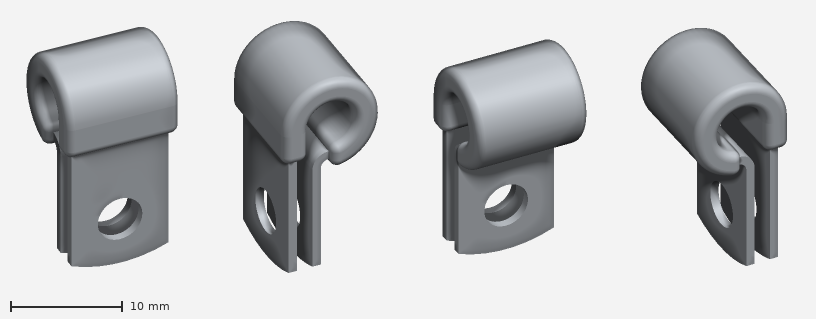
import cadquery as cq
import math

TOTAL_HEIGHT = 20.85
LOOP_RADIUS = 4.77
CUSHION_LAYER = 0.8
CUSHION_WIDTH = 11.1
CUSHION_LEG_LENGTH = 3.17
STRAP_THICKNESS = 0.83
BEND_INNER_RADIUS = 0.77
HOLE_DIAMETER = 4.35
HOLE_Z = -11.34
TIP_SAG = 0.92

strap_width = CUSHION_WIDTH - 2 * CUSHION_LAYER
strap_outer = LOOP_RADIUS - CUSHION_LAYER
strap_inner = strap_outer - STRAP_THICKNESS
bore_radius = strap_inner - CUSHION_LAYER
bottom_z = LOOP_RADIUS - TOTAL_HEIGHT


def hook(inner, outer, leg_end_z, width):
    """Three-quarter ring ending at X = 0 below the axis, with a straight leg on +X."""
    diagonal = math.sqrt(0.5)
    return (
        cq.Workplane("XZ")
        .moveTo(0, -outer)
        .threePointArc((-outer * diagonal, outer * diagonal), (outer, 0))
        .lineTo(outer, leg_end_z)
        .lineTo(inner, leg_end_z)
        .lineTo(inner, 0)
        .threePointArc((-inner * diagonal, inner * diagonal), (0, -inner))
        .close()
        .extrude(width / 2, both=True)
    )


def short_leg():
    """Quarter bend from the open end of the loop into the second straight leg."""
    bend_outer = BEND_INNER_RADIUS + STRAP_THICKNESS
    bend_z = -strap_inner - bend_outer
    return (
        cq.Workplane("XZ")
        .moveTo(0, -strap_inner)
        .radiusArc((bend_outer, bend_z), bend_outer)
        .lineTo(bend_outer, bottom_z)
        .lineTo(BEND_INNER_RADIUS, bottom_z)
        .lineTo(BEND_INNER_RADIUS, bend_z)
        .radiusArc((0, -strap_outer), -BEND_INNER_RADIUS)
        .close()
        .extrude(strap_width / 2, both=True)
    )


def leg_envelope():
    """Side outline of the strap: curved bottom edge and mounting hole."""
    half_width = strap_width / 2
    outline = (
        cq.Workplane("YZ")
        .moveTo(-half_width, LOOP_RADIUS)
        .lineTo(-half_width, bottom_z + TIP_SAG)
        .threePointArc((0, bottom_z), (half_width, bottom_z + TIP_SAG))
        .lineTo(half_width, LOOP_RADIUS)
        .close()
        .extrude(LOOP_RADIUS, both=True)
    )
    hole = (
        cq.Workplane("YZ")
        .center(0, HOLE_Z)
        .circle(HOLE_DIAMETER / 2)
        .extrude(LOOP_RADIUS, both=True)
    )
    return outline.cut(hole)


strap = hook(strap_inner, strap_outer, bottom_z, strap_width).union(short_leg())
strap = strap.intersect(leg_envelope())

cushion = hook(bore_radius, LOOP_RADIUS, -CUSHION_LEG_LENGTH, CUSHION_WIDTH)
side_edges = cushion.faces("<Y or >Y").edges()
lower_edges = cushion.edges("|Y").filter(lambda edge: edge.Center().z < -bore_radius / 2)
cushion = side_edges.add(lower_edges).fillet(CUSHION_LAYER)

result = cushion.union(strap)